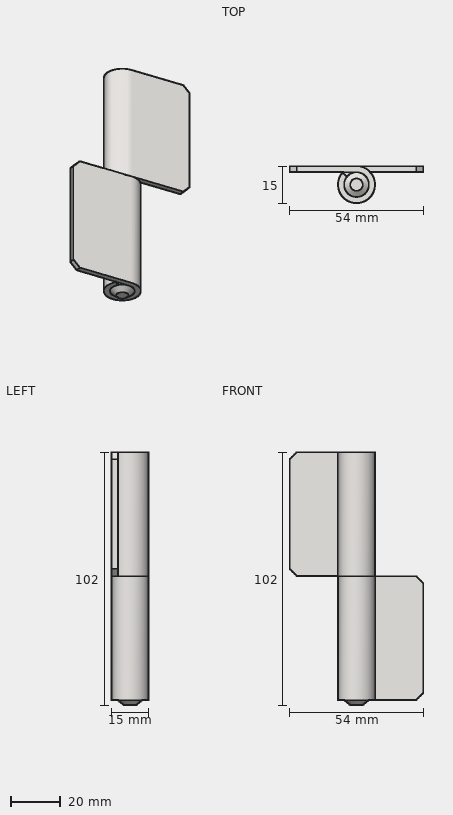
import cadquery as cq
import math

total_height = 102.0
total_width = 54.0
knuckle_height = 50.0
knuckle_diameter = 15.0
pin_diameter = 10.0
pin_tip_diameter = 5.0
pin_length = 90.0
leaf_corner_chamfer = 3.0
roll_end_angle = 140.0

outer_radius = knuckle_diameter / 2
bore_radius = pin_diameter / 2
leaf_thickness = outer_radius - bore_radius
leaf_reach = total_width / 2
pin_taper_height = total_height - 2 * knuckle_height


def point_on_circle(radius, degrees):
    angle = math.radians(degrees)
    return (radius * math.cos(angle), radius * math.sin(angle))


def make_upper_leaf():
    """Flat leaf toward -X whose sheet rolls clockwise around the pin."""
    leaf = (
        cq.Workplane("XY")
        .moveTo(-leaf_reach, outer_radius)
        .lineTo(0, outer_radius)
        .threePointArc((0, -outer_radius), point_on_circle(outer_radius, roll_end_angle))
        .lineTo(*point_on_circle(bore_radius, roll_end_angle))
        .threePointArc((0, -bore_radius), (0, bore_radius))
        .lineTo(-leaf_reach, bore_radius)
        .close()
        .extrude(knuckle_height)
    )
    return leaf.faces("<X").edges("|Y").chamfer(leaf_corner_chamfer)


def make_lower_leaf():
    """The same leaf turned half a turn about Y, so it hangs below toward +X."""
    return make_upper_leaf().rotate((0, 0, 0), (0, 1, 0), 180)


def make_pin():
    """Round pin with tapered ends, its lower taper standing below the knuckle."""
    return (
        cq.Workplane("XY")
        .workplane(offset=-knuckle_height - pin_taper_height)
        .circle(bore_radius)
        .extrude(pin_length)
        .faces("<Z or >Z")
        .chamfer(pin_taper_height, (pin_diameter - pin_tip_diameter) / 2)
    )


upper_leaf = make_upper_leaf()
lower_leaf = make_lower_leaf()
pin = make_pin()

result = cq.Compound.makeCompound([upper_leaf.val(), lower_leaf.val(), pin.val()])